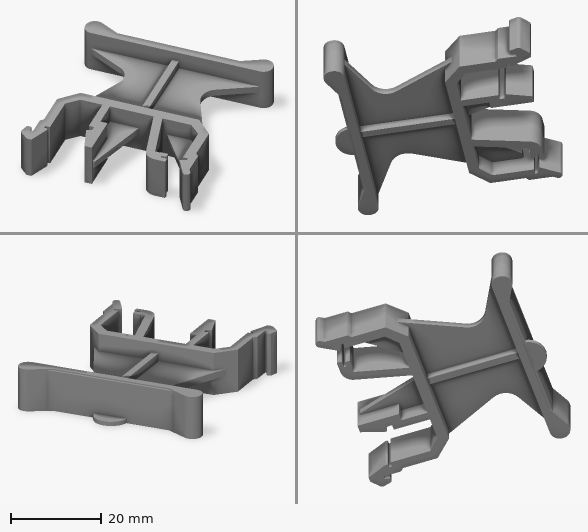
import cadquery as cq
import math

depth = 10.0
mid_z = depth / 2

bar_half_width = 22.25
bar_bottom = 21.65
bar_floor = 23.45
bar_floor_half_width = 14.05
flank_slope = 0.515
tip_radius = 2.2

label_thickness = 0.55
label_inset = 0.3
tab_radius = 4.0
tab_thickness = 1.0

plate_thickness = 1.6
rib_width = 1.6
rib_depth = 5.45
neck_corner = (8.05, 15.4)
neck_radius = 4.0
gusset_depth = 11.9
gusset_top_x = 7.2
gusset_end_x = 14.0
brace_top_x = 0.5
brace_end = (-4.2, -17.65)
brace_radius = 0.4

foot_left = -18.3
foot_right = 17.75
shoulder_left = -14.25
shoulder_right = 13.85
shoulder_drop = 4.05
plate_drop = 2.0
wall = 2.45
leg_inner_left = -16.0
leg_inner_right = 15.55
inner_corner_left = -13.35
inner_corner_right = 12.9
inner_corner_drop = 4.95
notch_top = -14.35
hook_left = -8.15
hook_right = -6.35
hook_foot_right = -4.6
hook_step = -8.45
hook_bottom = -18.2
arm_left = 4.0
arm_right = 6.1
arm_slope = 0.24
arm_bottom = -17.3
leg_bottom_left = -20.2
arm_seat = -14.5
arm_bend_radius = 2.95
leg_outer_left = -19.0
leg_outer_right = 18.5
notch_left = -17.1
notch_right = 16.75
notch_bottom_left = -15.05
barb_left = -16.3
hook_notch_x = -6.9
hook_notch_top = -10.85
catch_top = -15.72
catch_floor = -17.0
arm_step_x = 10.25
upper_lip_x = 12.05
lower_lip_x = 12.45
arm_notch_x = 10.9
arm_notch_top = -15.55
arm_notch_bottom = -16.1
toe_radius = 0.8
catch_radius = 0.85
edge_radius = 0.15
lip_radius = 0.3


def rounded_outline(corners):
    """Closed wire in the XY plane through corners (x, y) or (x, y, radius)."""
    count = len(corners)
    runs = []
    for i in range(count):
        corner = cq.Vector(*corners[i][:2])
        radius = corners[i][2] if len(corners[i]) > 2 else 0
        if radius == 0:
            runs.append((corner, corner, corner))
            continue
        to_previous = (cq.Vector(*corners[i - 1][:2]) - corner).normalized()
        to_next = (cq.Vector(*corners[(i + 1) % count][:2]) - corner).normalized()
        half_angle = to_previous.getAngle(to_next) / 2
        setback = radius / math.tan(half_angle)
        bisector = (to_previous + to_next).normalized()
        arc_middle = corner + bisector * (radius / math.sin(half_angle) - radius)
        runs.append((corner + to_previous * setback, arc_middle, corner + to_next * setback))

    edges = []
    for i in range(count):
        start, middle, end = runs[i]
        if (end - start).Length > 0:
            edges.append(cq.Edge.makeThreePointArc(start, middle, end))
        edges.append(cq.Edge.makeLine(end, runs[(i + 1) % count][0]))
    return cq.Wire.assembleEdges(edges)


def prism(corners, bottom, top):
    """Solid with the given outline between two Z heights."""
    solid = cq.Solid.extrudeLinear(rounded_outline(corners), [], cq.Vector(0, 0, top - bottom))
    return cq.Workplane(solid.translate(cq.Vector(0, 0, bottom)))


def centred_prism(corners, height):
    """Solid with the given outline, centred on the middle of the part in Z."""
    return prism(corners, mid_z - height / 2, mid_z + height / 2)


def make_head_bar():
    """Bar with a rounded, raised end on each side of the label seat."""
    tip_height = bar_floor + (bar_half_width - bar_floor_half_width) * flank_slope
    return prism(
        [
            (-bar_half_width, bar_bottom, tip_radius),
            (-bar_half_width, tip_height, tip_radius),
            (-bar_floor_half_width, bar_floor),
            (bar_floor_half_width, bar_floor),
            (bar_half_width, tip_height, tip_radius),
            (bar_half_width, bar_bottom, tip_radius),
        ],
        0,
        depth,
    )


def make_label():
    """Strip that fills the width between the raised bar ends, with a half-round tab."""
    back = bar_floor + label_thickness
    back_half_width = bar_floor_half_width + label_thickness / flank_slope
    strip = prism(
        [
            (-bar_floor_half_width, bar_floor),
            (-back_half_width, back),
            (back_half_width, back),
            (bar_floor_half_width, bar_floor),
        ],
        label_inset,
        depth - label_inset,
    )
    tab = (
        cq.Workplane("XY")
        .workplane(offset=label_inset)
        .moveTo(-tab_radius, bar_floor)
        .threePointArc((0, bar_floor + tab_radius), (tab_radius, bar_floor))
        .close()
        .extrude(tab_thickness)
    )
    return strip.union(tab)


def make_tongue():
    """Part of the plate that passes through the wall of the foot."""
    return centred_prism(
        [
            (hook_right, 0),
            (inner_corner_right, 0),
            (inner_corner_right, -wall),
            (hook_right, -wall),
        ],
        plate_thickness,
    )


def make_plate():
    """Necked plate with its rib, the tongue through the foot and two gussets below it."""
    neck_x, neck_y = neck_corner
    left_run = plate_drop * (foot_left - shoulder_left) / shoulder_drop
    right_run = plate_drop * (foot_right - shoulder_right) / shoulder_drop
    top_half_width = bar_half_width - tip_radius
    neck = centred_prism(
        [
            (-top_half_width, bar_bottom),
            (top_half_width, bar_bottom),
            (neck_x, neck_y, neck_radius),
            (shoulder_right + right_run, -plate_drop),
            (shoulder_right, 0),
            (shoulder_left, 0),
            (shoulder_left + left_run, -plate_drop),
            (-neck_x, neck_y, neck_radius),
        ],
        plate_thickness,
    )
    rib = centred_prism(
        [
            (-rib_width / 2, 0),
            (-rib_width / 2, bar_bottom),
            (rib_width / 2, bar_bottom),
            (rib_width / 2, 0),
        ],
        rib_depth,
    )
    hook_brace = centred_prism(
        [
            (hook_right, -wall),
            (brace_top_x, -wall),
            (*brace_end, brace_radius),
            (hook_foot_right, brace_end[1]),
            (hook_foot_right, hook_step),
            (hook_right, hook_step),
        ],
        plate_thickness,
    )
    leg_gusset = centred_prism(
        [
            (gusset_top_x, -wall),
            (inner_corner_right, -wall),
            (leg_inner_right, -inner_corner_drop),
            (leg_inner_right, -gusset_depth),
            (gusset_end_x, -gusset_depth),
        ],
        plate_thickness,
    )
    return neck.union(rib).union(make_tongue()).union(hook_brace).union(leg_gusset)


def make_foot():
    """Clip foot: two outer legs, an angled arm and a hook, slotted for the plate tongue."""
    shoulders = [(shoulder_left, 0), (shoulder_right, 0), (foot_right, -shoulder_drop)]
    right_leg = [
        (foot_right, -12.0),
        (leg_outer_right, -12.67),
        (leg_outer_right, -18.0),
        (19.45, -19.65, toe_radius),
        (17.95, -20.5, toe_radius),
        (15.15, -15.65, edge_radius),
        (notch_right, -14.9, lip_radius),
        (notch_right, notch_top),
        (leg_inner_right, notch_top),
        (leg_inner_right, -inner_corner_drop),
        (inner_corner_right, -wall),
    ]
    arm = [
        (arm_right, -wall),
        (arm_right + arm_slope * (-wall - arm_seat), arm_seat),
        (arm_step_x, arm_seat),
        (arm_step_x, notch_top),
        (upper_lip_x, notch_top, lip_radius),
        (upper_lip_x, arm_notch_top, lip_radius),
        (arm_notch_x, arm_notch_top, edge_radius),
        (arm_notch_x, arm_notch_bottom, edge_radius),
        (lower_lip_x, arm_notch_bottom, lip_radius),
        (lower_lip_x, arm_bottom, lip_radius),
        (arm_left + arm_slope * (-wall - arm_bottom), arm_bottom, arm_bend_radius),
        (arm_left, -wall),
    ]
    hook = [
        (hook_right, -wall),
        (hook_right, hook_step),
        (hook_foot_right, hook_step),
        (hook_foot_right, hook_bottom),
        (-6.4, hook_bottom),
        (hook_left, -12.55),
        (hook_notch_x, -12.0, lip_radius),
        (hook_notch_x, hook_notch_top),
        (hook_left, hook_notch_top),
        (hook_left, -wall),
    ]
    left_leg = [
        (inner_corner_left, -wall),
        (leg_inner_left, -inner_corner_drop),
        (leg_inner_left, notch_top),
        (notch_left, notch_top),
        (notch_left, notch_bottom_left),
        (barb_left, notch_bottom_left, lip_radius),
        (barb_left, -15.65, edge_radius),
        (-18.2, leg_bottom_left),
        (-19.35, leg_bottom_left),
        (-21.6, -18.1, catch_radius),
        (-20.9, catch_top, lip_radius),
        (-19.85, catch_top, lip_radius),
        (-19.7, catch_floor),
        (leg_outer_left, catch_floor),
        (leg_outer_left, -12.85),
        (foot_left, -12.15),
        (foot_left, -shoulder_drop),
    ]
    outline = shoulders + right_leg + arm + hook + left_leg
    return prism(outline, 0, depth).cut(make_tongue())


head_bar = make_head_bar()
label = make_label()
plate = make_plate()
foot = make_foot()

bodies = [head_bar, label, plate, foot]
result = cq.Compound.makeCompound([body.solids().val() for body in bodies])